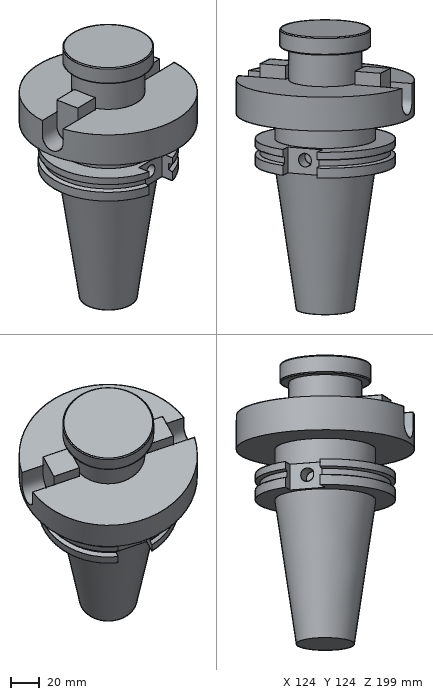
import cadquery as cq

taper_length = 101.5
grip_bottom = 102.7
grip_top = 121.0
drive_bottom = 138.8
drive_top = 162.9
head_bottom = 186.3
head_top = 199.0

taper_radius = 35.0
taper_slope = 7 / 48
taper_tip_radius = taper_radius - taper_length * taper_slope
grip_radius = 48.8
drive_radius = 62.02
pilot_radius = 25.5

groove_root_radius = 45.5
groove_mouth_bottom = grip_bottom + 7.0
groove_root_bottom = grip_bottom + 8.0
groove_root_top = grip_bottom + 12.1
groove_mouth_top = grip_bottom + 13.1

notch_width = 25.7
notch_floor = 37.8
notch_hole_diameter = 9.5
notch_hole_depth = 12.0
notch_hole_height = grip_bottom + 10.0

key_width = 18.7
key_bottom = 142.5
key_top = 172.5
key_inner = 25.9
key_outer = 45.2
keyway_outer = drive_radius + 2.0

head_radius = 31.7
head_chamfer = 0.8


def make_turned_holder():
    """Taper, gripper flange, drive flange and pilot in one revolved profile."""
    profile = [
        (0, 0),
        (taper_tip_radius, 0),
        (taper_radius, taper_length),
        (taper_radius, grip_bottom),
        (grip_radius, grip_bottom),
        (grip_radius, groove_mouth_bottom),
        (groove_root_radius, groove_root_bottom),
        (groove_root_radius, groove_root_top),
        (grip_radius, groove_mouth_top),
        (grip_radius, grip_top),
        (taper_radius, grip_top),
        (taper_radius, drive_bottom),
        (drive_radius, drive_bottom),
        (drive_radius, drive_top),
        (pilot_radius, drive_top),
        (pilot_radius, head_bottom),
        (0, head_bottom),
    ]
    return cq.Workplane("XZ").polyline(profile).close().revolve(360, (0, 0), (0, 1))


def make_notch_cutter(angle):
    """Notch and floor hole on the +X side, turned about Z by the angle."""
    notch = cq.Workplane("XY").box(
        grip_radius - notch_floor + 2.0, notch_width, grip_top - grip_bottom,
        centered=(False, True, False),
    ).translate((notch_floor, 0, grip_bottom))
    hole = (
        cq.Workplane("YZ", origin=(notch_floor, 0, notch_hole_height))
        .circle(notch_hole_diameter / 2)
        .extrude(-notch_hole_depth)
    )
    return notch.union(hole).rotate((0, 0, 0), (0, 0, 1), angle)


def make_key_shape(outer, angle):
    """Round-bottomed bar on the -Y side, from key_inner to outer, turned about Z."""
    half = key_width / 2
    return (
        cq.Workplane("XZ", origin=(0, -key_inner, 0))
        .moveTo(-half, key_top)
        .lineTo(-half, key_bottom + half)
        .threePointArc((0, key_bottom), (half, key_bottom + half))
        .lineTo(half, key_top)
        .close()
        .extrude(outer - key_inner)
        .rotate((0, 0, 0), (0, 0, 1), angle)
    )


def make_holder():
    body = make_turned_holder()
    for angle in (0, 180):
        body = body.cut(make_notch_cutter(angle))
        body = body.cut(make_key_shape(keyway_outer, angle))
    return body


def make_screw_head():
    return (
        cq.Workplane("XY", origin=(0, 0, head_bottom))
        .circle(head_radius)
        .extrude(head_top - head_bottom)
        .edges()
        .chamfer(head_chamfer)
    )


holder = make_holder()
drive_keys = [make_key_shape(key_outer, angle) for angle in (0, 180)]
screw_head = make_screw_head()

result = cq.Compound.makeCompound(
    [holder.val(), *[key.val() for key in drive_keys], screw_head.val()]
)